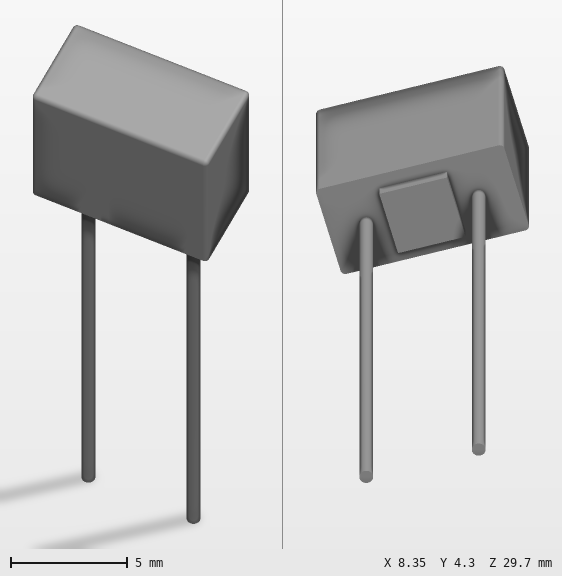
import cadquery as cq

case_length = 8.35
case_width = 4.3
case_height = 7.2
case_rounding = 0.2

pad_side = 3.0
pad_height = 0.5

total_height = 29.7
lead_diameter = 0.6
lead_pitch = 5.0
lead_length = total_height - case_height


def make_case():
    """Case standing on Z = 0, with its bottom rim left sharp."""
    box = cq.Workplane("XY").box(case_length, case_width, case_height, centered=(True, True, False))
    return box.edges("|Z or >Z").fillet(case_rounding)


def make_pad():
    """Pad hanging from the middle of the case bottom."""
    return cq.Workplane("XY").rect(pad_side, pad_side).extrude(-pad_height)


def make_leads():
    """Straight leads hanging from the case bottom, spaced along X."""
    lead_centers = [(-lead_pitch / 2, 0), (lead_pitch / 2, 0)]
    return cq.Workplane("XY").pushPoints(lead_centers).circle(lead_diameter / 2).extrude(-lead_length)


result = make_case().union(make_pad()).union(make_leads())